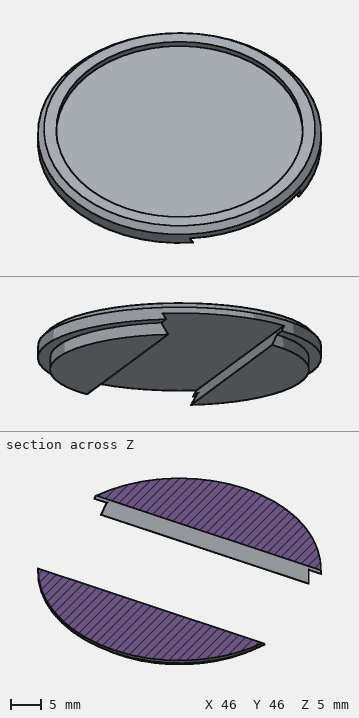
import cadquery as cq

outer_diameter = 46.0
step_diameter = 42.0
total_height = 5.0
step_height = 2.0
top_chamfer = 1.0

recess_diameter = 40.0
recess_depth = 1.0

slot_mouth_width = 18.0
slot_root_width = 21.0
slot_depth = 3.0


def make_lid():
    """Chamfered disc standing on a smaller round step."""
    step = cq.Workplane("XY").circle(step_diameter / 2).extrude(step_height)
    rim = (
        cq.Workplane("XY")
        .workplane(offset=step_height)
        .circle(outer_diameter / 2)
        .extrude(total_height - step_height)
        .faces(">Z")
        .chamfer(top_chamfer)
    )
    return step.union(rim)


def make_recess():
    """Cylinder removed from the top face."""
    return (
        cq.Workplane("XY")
        .workplane(offset=total_height - recess_depth)
        .circle(recess_diameter / 2)
        .extrude(recess_depth)
    )


def make_dovetail_slot():
    """Prism removed from the underside, wider at its root than at its mouth."""
    half_mouth = slot_mouth_width / 2
    half_root = slot_root_width / 2
    return (
        cq.Workplane("YZ")
        .polyline([
            (-half_mouth, 0),
            (half_mouth, 0),
            (half_root, slot_depth),
            (-half_root, slot_depth),
        ])
        .close()
        .extrude(outer_diameter / 2, both=True)
    )


result = make_lid().cut(make_recess()).cut(make_dovetail_slot())